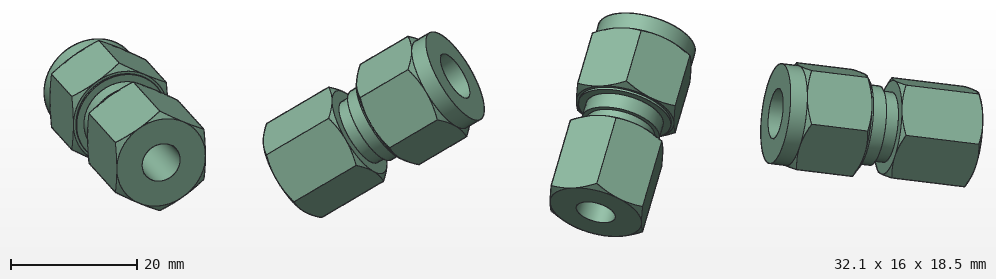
import cadquery as cq
import math


total_length = 32.1
collar_end = 2.75
nut_end = 13.5
washer_end = 13.9
shoulder_end = 16.45
neck_end = 18.65

nut_across_flats = 16.0
body_across_flats = 15.0
chamfer_angle = 30.0

collar_diameter = nut_across_flats
washer_diameter = 15.15
shoulder_diameter = 12.7
neck_diameter = 11.25

socket_diameter = 8.02
socket_depth = washer_end
bore_diameter = 6.42


def cylinder(start, end, diameter):
    """Cylinder on the X axis between two stations."""
    return cq.Workplane("YZ", origin=(start, 0, 0)).circle(diameter / 2).extrude(end - start)


def chamfered_hexagon(start, end, across_flats):
    """Hexagonal bar on the X axis, its corners turned off conically at both ends."""
    flat_radius = across_flats / 2
    corner_radius = flat_radius / math.cos(math.pi / 6)
    chamfer_length = (corner_radius - flat_radius) * math.tan(math.radians(chamfer_angle))

    bar = (
        cq.Workplane("YZ", origin=(start, 0, 0))
        .transformed(rotate=(0, 0, 90))
        .polygon(6, 2 * corner_radius)
        .extrude(end - start)
    )
    envelope = (
        cq.Workplane("XY")
        .moveTo(start, 0)
        .lineTo(start, flat_radius)
        .lineTo(start + chamfer_length, corner_radius)
        .lineTo(end - chamfer_length, corner_radius)
        .lineTo(end, flat_radius)
        .lineTo(end, 0)
        .close()
        .revolve(360, (0, 0, 0), (1, 0, 0))
    )
    return bar.intersect(envelope)


nut = chamfered_hexagon(collar_end, nut_end, nut_across_flats)
body = chamfered_hexagon(neck_end, total_length, body_across_flats)

fitting = (
    cylinder(0, collar_end, collar_diameter)
    .union(nut)
    .union(cylinder(nut_end, washer_end, washer_diameter))
    .union(cylinder(washer_end, shoulder_end, shoulder_diameter))
    .union(cylinder(shoulder_end, neck_end, neck_diameter))
    .union(body)
)

socket = cylinder(0, socket_depth, socket_diameter)
bore = cylinder(0, total_length, bore_diameter)

result = fitting.cut(socket).cut(bore)